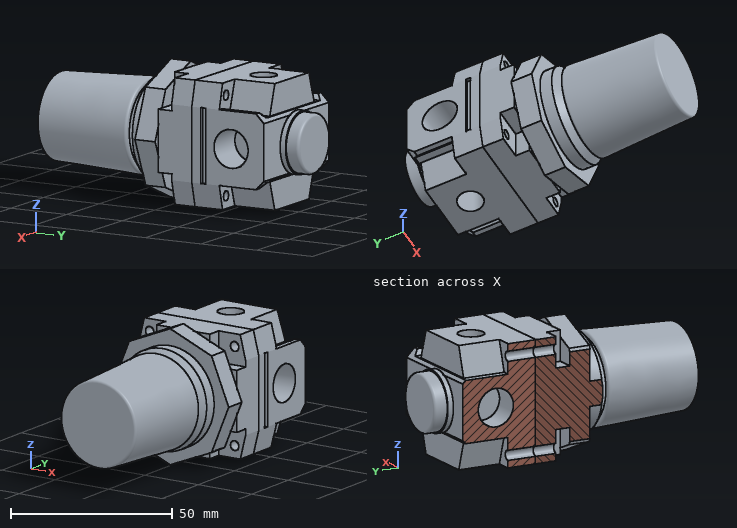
import cadquery as cq


HALF_WIDTH = 20.0
SIDE_FLAT_HALF = 12.0
CORNER_INSET = 2.0

PLUG_END_Y = 32.4
FLANGE_END_Y = 27.8
BODY_REAR_Y = 25.9
TOWER_REAR_Y = 24.25
FULL_BLOCK_Y = 9.9
NOTCH_Y = -7.2
NUT_REAR_Y = -12.1
NUT_FRONT_Y = -19.3
COLLAR_TAPER_Y = -23.4
KNOB_REAR_Y = -26.1
KNOB_FRONT_Y = -59.1

REAR_CHAMFER = 2.8
TOWER_TOP_HALF = 10.5
TOWER_FOOT_HALF = 13.6
RELIEF_DEPTH = 1.7
PLATE_THICKNESS = 1.9

PORT_Y = 14.1
GAUGE_PORT_RADIUS = 4.2
SIDE_PORT_RADIUS = 6.1
SIDE_PORT_DEPTH = 12.8
GROOVE_START_Y = 3.3
GROOVE_WIDTH = 1.65
GROOVE_DEPTH = 1.0
SCREW_OFFSET = 15.9
SCREW_HOLE_RADIUS = 1.6

FLANGE_RADIUS = 10.1
PLUG_RADIUS = 9.6
PLUG_FILLET = 1.0

ARM_HALF_WIDTH = 10.0
NUT_SIZE = 43.8
NUT_SIDES = 8
COLLAR_RADIUS = 16.5

KNOB_REAR_RADIUS = 15.65
KNOB_FRONT_RADIUS = 14.2
KNOB_FILLET = 0.9


def section_plane(y):
    """Plane across the Y axis whose local axes are X and Z and whose normal is -Y."""
    return cq.Workplane("XZ", origin=(0, y, 0))


def box_between(x_range, y_range, z_range):
    """Axis-aligned box between pairs of limits."""
    return cq.Workplane("XY").box(
        x_range[1] - x_range[0],
        y_range[1] - y_range[0],
        z_range[1] - z_range[0],
        centered=False,
    ).translate((x_range[0], y_range[0], z_range[0]))


def disc(radius, rear_y, front_y):
    """Cylinder on the Y axis."""
    return section_plane(rear_y).circle(radius).extrude(rear_y - front_y)


def tapered_block(rear_y, front_y):
    """Full outer section with flat sides that lean in toward the top and bottom."""
    top_half = HALF_WIDTH - CORNER_INSET
    outline = [
        (HALF_WIDTH, -SIDE_FLAT_HALF),
        (HALF_WIDTH, SIDE_FLAT_HALF),
        (top_half, HALF_WIDTH),
        (-top_half, HALF_WIDTH),
        (-HALF_WIDTH, SIDE_FLAT_HALF),
        (-HALF_WIDTH, -SIDE_FLAT_HALF),
        (-top_half, -HALF_WIDTH),
        (top_half, -HALF_WIDTH),
    ]
    return section_plane(rear_y).polyline(outline).close().extrude(rear_y - front_y)


def screw_holes(rear_y, front_y):
    """Four screw clearance holes near the corners of the section."""
    spacing = 2 * SCREW_OFFSET
    return (
        section_plane(rear_y)
        .rect(spacing, spacing, forConstruction=True)
        .vertices()
        .circle(SCREW_HOLE_RADIUS)
        .extrude(rear_y - front_y)
    )


def port_slab():
    """Central slab carrying the side ports, relieved above and below, with a chamfered rear."""
    slab = box_between(
        (-HALF_WIDTH, HALF_WIDTH),
        (0, BODY_REAR_Y),
        (-SIDE_FLAT_HALF, SIDE_FLAT_HALF),
    )
    slab = slab.faces(">Y").edges("|X").chamfer(REAR_CHAMFER)
    bank_top = HALF_WIDTH - PLATE_THICKNESS
    bank_foot = bank_top - RELIEF_DEPTH
    floor_z = SIDE_FLAT_HALF - RELIEF_DEPTH
    relief = (
        section_plane(BODY_REAR_Y)
        .polyline([
            (bank_foot, floor_z),
            (bank_top, SIDE_FLAT_HALF),
            (-bank_top, SIDE_FLAT_HALF),
            (-bank_foot, floor_z),
        ])
        .close()
        .extrude(BODY_REAR_Y - FULL_BLOCK_Y)
    )
    return slab.cut(relief).cut(relief.mirror("XY"))


def port_tower():
    """Upright tower through the slab, narrowing toward its top and bottom faces."""
    foot_z = SIDE_FLAT_HALF - RELIEF_DEPTH
    outline = [
        (TOWER_FOOT_HALF, -foot_z),
        (TOWER_FOOT_HALF, foot_z),
        (TOWER_TOP_HALF, HALF_WIDTH),
        (-TOWER_TOP_HALF, HALF_WIDTH),
        (-TOWER_FOOT_HALF, foot_z),
        (-TOWER_FOOT_HALF, -foot_z),
        (-TOWER_TOP_HALF, -HALF_WIDTH),
        (TOWER_TOP_HALF, -HALF_WIDTH),
    ]
    return section_plane(TOWER_REAR_Y).polyline(outline).close().extrude(TOWER_REAR_Y)


def rear_plug():
    """Round plug with a thin flange on the rear face."""
    plug = disc(PLUG_RADIUS, PLUG_END_Y, BODY_REAR_Y).faces(">Y").edges().fillet(PLUG_FILLET)
    return plug.union(disc(FLANGE_RADIUS, FLANGE_END_Y, BODY_REAR_Y))


def side_cuts():
    """Blind port and shallow groove in the -X side."""
    port = (
        cq.Workplane("YZ", origin=(-HALF_WIDTH, 0, 0))
        .center(PORT_Y, 0)
        .circle(SIDE_PORT_RADIUS)
        .extrude(SIDE_PORT_DEPTH)
    )
    groove = box_between(
        (-HALF_WIDTH, -HALF_WIDTH + GROOVE_DEPTH),
        (GROOVE_START_Y, GROOVE_START_Y + GROOVE_WIDTH),
        (-SIDE_FLAT_HALF, SIDE_FLAT_HALF),
    )
    return port.union(groove)


def gauge_port():
    """Vertical hole through the tower."""
    return (
        cq.Workplane("XY", origin=(0, PORT_Y, -HALF_WIDTH))
        .circle(GAUGE_PORT_RADIUS)
        .extrude(2 * HALF_WIDTH)
    )


def make_body():
    """Port body with its rear plug."""
    body = tapered_block(FULL_BLOCK_Y, 0)
    for feature in (port_slab(), port_tower(), rear_plug()):
        body = body.union(feature)
    cuts = side_cuts()
    body = body.cut(cuts).cut(cuts.mirror("YZ"))
    return body.cut(gauge_port()).cut(screw_holes(FULL_BLOCK_Y, 0))


def octagon_nut():
    """Octagonal collar with corners on the X and Z axes."""
    return (
        section_plane(NUT_REAR_Y)
        .polygon(NUT_SIDES, NUT_SIZE)
        .extrude(NUT_REAR_Y - NUT_FRONT_Y)
    )


def bonnet_collar():
    """Round collar ending in a 45 degree taper."""
    end_radius = COLLAR_RADIUS - (COLLAR_TAPER_Y - KNOB_REAR_Y)
    return (
        cq.Workplane("XY")
        .polyline([
            (0, NUT_FRONT_Y),
            (COLLAR_RADIUS, NUT_FRONT_Y),
            (COLLAR_RADIUS, COLLAR_TAPER_Y),
            (end_radius, KNOB_REAR_Y),
            (0, KNOB_REAR_Y),
        ])
        .close()
        .revolve(axisStart=(0, 0, 0), axisEnd=(0, 1, 0))
    )


def make_bonnet():
    """Bonnet block with screw-head notches, octagon and collar."""
    block = tapered_block(0, NUT_REAR_Y)
    for x_side in (-1, 1):
        for z_side in (-1, 1):
            x_limits = sorted((x_side * ARM_HALF_WIDTH, x_side * HALF_WIDTH))
            z_limits = sorted((z_side * ARM_HALF_WIDTH, z_side * HALF_WIDTH))
            block = block.cut(box_between(x_limits, (NUT_REAR_Y, NOTCH_Y), z_limits))
    block = block.cut(screw_holes(0, NOTCH_Y))
    return block.union(octagon_nut()).union(bonnet_collar())


def make_knob():
    """Adjusting knob, narrowing slightly toward its front, with rounded rims."""
    return (
        cq.Workplane("XY")
        .polyline([
            (0, KNOB_REAR_Y),
            (KNOB_REAR_RADIUS, KNOB_REAR_Y),
            (KNOB_FRONT_RADIUS, KNOB_FRONT_Y),
            (0, KNOB_FRONT_Y),
        ])
        .close()
        .revolve(axisStart=(0, 0, 0), axisEnd=(0, 1, 0))
        .edges("%CIRCLE")
        .fillet(KNOB_FILLET)
    )


body = make_body()
bonnet = make_bonnet()
knob = make_knob()

result = cq.Compound.makeCompound([part.solids().val() for part in (body, bonnet, knob)])